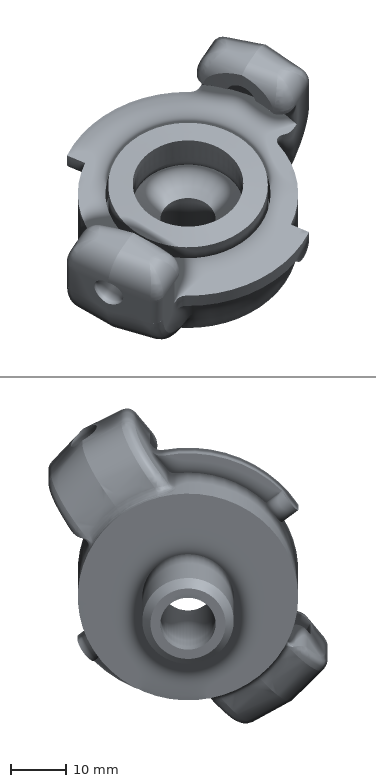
import cadquery as cq
import math

stem_radius = 8.3
stem_length = 14.0
stem_chamfer = 1.5
collar_radius = 20.0
collar_height = 14.0
collar_top = stem_length + collar_height

bore_radius = 5.0
funnel_radius = 11.0
funnel_depth = 1.6
seat_radius = 15.0
seat_floor = 22.15

ring_outer_radius = 14.5
ring_inner_radius = 10.05
ring_outer_top = 30.55
ring_inner_top = 31.0
ring_mouth_round = 2.85

flange_radius = 23.75
flange_thickness = 3.0
lug_radius = 2.5
lug_axis_drop = 2.25

claw_half_width = 9.8
claw_tip = 31.0
claw_inner = 18.55
claw_top = 40.3
claw_slope = math.radians(8)
side_drop = claw_half_width * math.tan(claw_slope)
heel_radius = 12.0
heel_bottom = collar_top - heel_radius
root_inner = 15.5

hook_clearance = 5.95
throat_radius = 25.55
lip_radius = 20.85
eye_radius = 3.0
eye_height = 33.25

crown_round = 5.0
outer_edge_round = 2.0
inner_edge_round = 3.0
collar_joint_round = 1.5
flange_joint_round = 2.0

claw_middle = (claw_tip + claw_inner) / 2
min_rise = 0.3
fit = 0.005


def disc(radius, bottom, top):
    """Round disc on the Z axis between two heights."""
    return cq.Workplane("XY").workplane(offset=bottom).circle(radius).extrude(top - bottom)


def around_axis(part):
    """Two copies of a part, half a turn apart about the Z axis."""
    return part.union(part.rotate((0, 0, 0), (0, 0, 1), 180))


def rises(edge):
    """True for an edge whose ends lie at clearly different heights."""
    return abs(edge.startPoint().z - edge.endPoint().z) > min_rise


def faces_axis(edge):
    """True for an edge of the -Y claw on the half of its thickness nearer to the Z axis."""
    return edge.Center().y > -claw_middle


def is_claw_joint(edge, radius):
    """True for an edge on a cylinder of this radius about the Z axis, at the foot of a claw."""
    points = [edge.positionAt(t) for t in (0, 0.5, 1)]
    on_cylinder = all(abs(math.hypot(p.x, p.y) - radius) < fit for p in points)
    below_top = stem_length + fit < edge.Center().z < collar_top - fit
    return on_cylinder and below_top and abs(edge.Center().y) > root_inner


def half_prism():
    """Prism of the +X half of the -Y claw, its faces sloping back from the ridge."""
    outline = [
        (0, -claw_inner),
        (claw_half_width, -claw_inner - side_drop),
        (claw_half_width, side_drop - claw_tip),
        (0, -claw_tip),
    ]
    return cq.Workplane("XY").polyline(outline).close().extrude(claw_top)


def round_inner_edge(half):
    """Rounds the upright side edge of a half claw that is nearer to the Z axis."""
    side = half.faces(">X").edges("%LINE").filter(rises).filter(faces_axis)
    return half.newObject(side.vals()).fillet(inner_edge_round)


def half_hook():
    """The +X half of the -Y claw above the collar."""
    roof = [
        (0, collar_top),
        (claw_half_width, collar_top),
        (claw_half_width, claw_top - side_drop),
        (0, claw_top),
    ]
    hook = half_prism().intersect(cq.Workplane("XZ").polyline(roof).close().extrude(claw_tip))
    crown = hook.faces(">Z").edges().filter(lambda edge: edge.Center().x > fit)
    hook = round_inner_edge(hook.newObject(crown.vals()).fillet(crown_round))
    side = hook.faces(">X").edges().filter(rises)
    outer = side.filter(lambda edge: not faces_axis(edge))
    return hook.newObject(outer.vals()).fillet(outer_edge_round)


def half_root():
    """The +X half of the -Y claw below the collar top, its heel swept along the slope."""
    profile = (
        cq.Workplane("YZ")
        .moveTo(-root_inner, heel_bottom)
        .lineTo(heel_radius - claw_tip, heel_bottom)
        .radiusArc((-claw_tip, collar_top), heel_radius)
        .lineTo(-root_inner, collar_top)
        .close()
    )
    sweep = cq.Vector(claw_half_width, side_drop, 0)
    root = cq.Workplane(obj=cq.Solid.extrudeLinear(profile.val(), [], sweep))
    heel = root.faces(">X").edges("%CIRCLE or <Z")
    return root.newObject(heel.vals()).fillet(outer_edge_round)


def make_claw():
    """The -Y claw, its inner edge rounded all the way down on the side without a flange."""
    hook = half_hook()
    flange_root = half_root()
    open_root = flange_root.intersect(round_inner_edge(half_prism()))
    claw = hook.union(hook.mirror("YZ")).union(flange_root).union(open_root.mirror("YZ"))
    claw = claw.cut(disc(throat_radius, collar_top, collar_top + hook_clearance))
    claw = claw.cut(disc(lip_radius, collar_top, claw_top))
    eye = cq.Workplane("XZ").center(0, eye_height).circle(eye_radius).extrude(claw_tip)
    return claw.cut(eye)


def make_flange():
    """Flange on the +X side, from the -Y claw to a lug that hangs below it on the X axis."""
    quarter = (
        cq.Workplane("XY")
        .workplane(offset=collar_top - flange_thickness)
        .rect(flange_radius, -flange_radius, centered=False)
        .extrude(flange_thickness)
    )
    lug_axis = collar_top - lug_axis_drop
    lug = (
        cq.Workplane("YZ")
        .moveTo(-lug_radius, collar_top)
        .lineTo(-lug_radius, lug_axis)
        .threePointArc((0, lug_axis - lug_radius), (lug_radius, lug_axis))
        .lineTo(lug_radius, collar_top)
        .close()
        .extrude(flange_radius)
    )
    return quarter.union(lug).intersect(disc(flange_radius, stem_length, collar_top))


def make_passage():
    """Bore, funnel and ring seat as one turned shape, to be cut from the body."""
    outline = [
        (0, 0),
        (bore_radius, 0),
        (bore_radius, seat_floor - funnel_depth),
        (funnel_radius, seat_floor),
        (seat_radius, seat_floor),
        (seat_radius, collar_top),
        (0, collar_top),
    ]
    return cq.Workplane("XZ").polyline(outline).close().revolve(360, (0, 0, 0), (0, 1, 0))


def make_body():
    """Coupling body: stem, collar, two claws and two flanges in one piece."""
    body = disc(collar_radius, stem_length, collar_top).union(around_axis(make_claw()))
    joints = body.edges().filter(lambda edge: is_claw_joint(edge, collar_radius))
    body = body.newObject(joints.vals()).fillet(collar_joint_round)

    body = body.union(around_axis(make_flange()))
    joints = body.edges("|Z").filter(lambda edge: is_claw_joint(edge, flange_radius))
    body = body.newObject(joints.vals()).fillet(flange_joint_round)

    stem = disc(stem_radius, 0, stem_length).faces("<Z").chamfer(stem_chamfer)
    return body.union(stem).cut(make_passage())


def make_ring():
    """Seal ring standing on the seat, its top rising slightly towards the bore."""
    return (
        cq.Workplane("XZ")
        .moveTo(ring_outer_radius, seat_floor)
        .lineTo(ring_outer_radius, ring_outer_top)
        .lineTo(ring_inner_radius, ring_inner_top)
        .lineTo(ring_inner_radius, seat_floor + ring_mouth_round)
        .radiusArc((ring_inner_radius + ring_mouth_round, seat_floor), -ring_mouth_round)
        .close()
        .revolve(360, (0, 0, 0), (0, 1, 0))
    )


body = make_body()
ring = make_ring()
result = cq.Compound.makeCompound([body.solids().val(), ring.solids().val()])